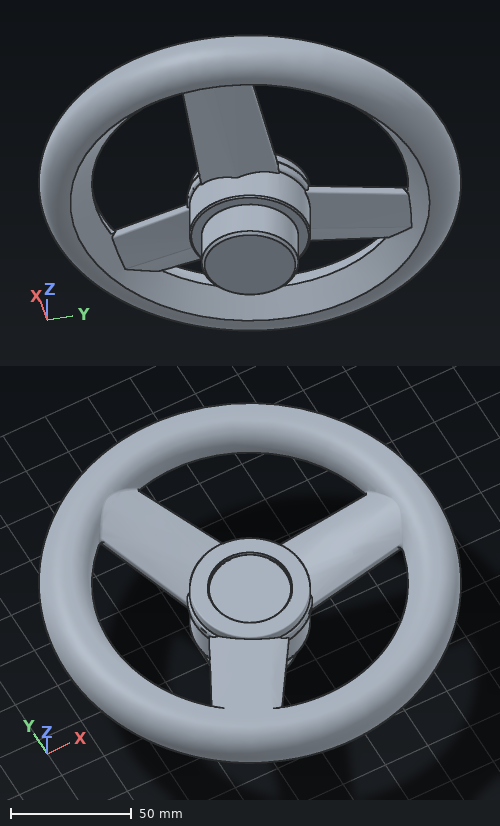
import cadquery as cq
import math

outer_diameter = 175.0
overall_height = 56.0

rim_thickness = 22.0
rim_center_radius = (outer_diameter - rim_thickness) / 2
rim_center_height = overall_height - rim_thickness / 2
rim_flat_drop = 0.9
rim_flat_outer_diameter = 148.9

foot_diameter = 40.0
foot_chamfer = 1.2
hub_diameter = 50.0
hub_bottom = 15.7
hub_bottom_chamfer = 0.7
hub_top = 41.6
hub_top_fillet = 0.7
collar_diameter = 52.1
collar_bottom = 32.2
collar_top = 37.1
collar_fillet = 1.2

recess_diameter = 35.0
recess_depth = 1.7
cap_diameter = 34.0
cap_height = 0.7

spoke_count = 3
spoke_pitch = 360 / spoke_count
spoke_start = 15.7
spoke_end = 73.5
hub_radius = hub_diameter / 2
spoke_width_at_hub = 32.5
spoke_taper = 0.09
spoke_rise = 0.276
spoke_edge_bottom_at_hub = 32.7
spoke_edge_thickness = 3.7
spoke_lower_depth = 6.3
spoke_upper_crown_at_hub = 4.0
spoke_upper_crown_at_end = 4.9
spoke_edge_fillet = 0.9
spoke_rim_fillet = 1.4
joint_tolerance = 0.02


def make_rim():
    """Round ring whose inner lower quarter is cut to a conical flat."""
    tube_radius = rim_thickness / 2
    flat_top_radius = rim_center_radius - math.sqrt(tube_radius**2 - rim_flat_drop**2)
    flat_bottom_radius = rim_flat_outer_diameter / 2
    flat_bottom_drop = math.sqrt(tube_radius**2 - (rim_center_radius - flat_bottom_radius) ** 2)
    return (
        cq.Workplane("XZ")
        .moveTo(flat_top_radius, rim_center_height - rim_flat_drop)
        .threePointArc(
            (outer_diameter / 2, rim_center_height),
            (flat_bottom_radius, rim_center_height - flat_bottom_drop),
        )
        .close()
        .revolve(360, (0, 0, 0), (0, 1, 0))
    )


def cylinder(diameter, bottom, top):
    return cq.Workplane("XY").workplane(offset=bottom).circle(diameter / 2).extrude(top - bottom)


def make_hub():
    foot = cylinder(foot_diameter, 0, hub_bottom).faces("<Z").chamfer(foot_chamfer)
    body = cylinder(hub_diameter, hub_bottom, hub_top)
    body = body.faces("<Z").chamfer(hub_bottom_chamfer).faces(">Z").edges().fillet(hub_top_fillet)
    collar = cylinder(collar_diameter, collar_bottom, collar_top).edges("%CIRCLE").fillet(collar_fillet)
    return foot.union(body).union(collar)


def spoke_section(radius, upper_crown):
    """Closed section, square to the spoke at the given radius."""
    beyond_hub = radius - hub_radius
    half_width = (spoke_width_at_hub - spoke_taper * beyond_hub) / 2
    edge_bottom = spoke_edge_bottom_at_hub + spoke_rise * beyond_hub
    edge_top = edge_bottom + spoke_edge_thickness
    return (
        cq.Workplane("YZ", origin=(radius, 0, 0))
        .moveTo(-half_width, edge_bottom)
        .lineTo(0, edge_bottom - spoke_lower_depth)
        .lineTo(half_width, edge_bottom)
        .lineTo(half_width, edge_top)
        .threePointArc((0, edge_top + upper_crown), (-half_width, edge_top))
        .close()
        .val()
    )


def make_spoke():
    inner = spoke_section(spoke_start, spoke_upper_crown_at_hub)
    outer = spoke_section(spoke_end, spoke_upper_crown_at_end)
    loft = cq.Workplane(cq.Solid.makeLoft([inner, outer], True))
    long_edges = loft.edges("not(#X)").edges("not(<X or >X)")
    return long_edges.fillet(spoke_edge_fillet)


def is_spoke_rim_joint(edge):
    """True for the edges where the crowned top of a spoke meets the round of the rim."""
    if edge.geomType() == "CIRCLE":
        return False
    for position in [0.1, 0.5, 0.9]:
        point = edge.positionAt(position)
        radial_offset = math.hypot(point.x, point.y) - rim_center_radius
        distance = math.hypot(radial_offset, point.z - rim_center_height)
        on_rim = abs(distance - rim_thickness / 2) < joint_tolerance
        if not on_rim or point.z < rim_center_height:
            return False
    return True


rim_and_spokes = make_rim().rotate((0, 0, 0), (0, 0, 1), spoke_pitch / 2)
spoke = make_spoke()
for index in range(spoke_count):
    rim_and_spokes = rim_and_spokes.union(spoke.rotate((0, 0, 0), (0, 0, 1), index * spoke_pitch))
rim_and_spokes = rim_and_spokes.edges().filter(is_spoke_rim_joint).fillet(spoke_rim_fillet)

result = make_hub().union(rim_and_spokes)

recess_bottom = hub_top - recess_depth
result = result.cut(cylinder(recess_diameter, recess_bottom, hub_top))
result = result.union(cylinder(cap_diameter, recess_bottom, recess_bottom + cap_height))